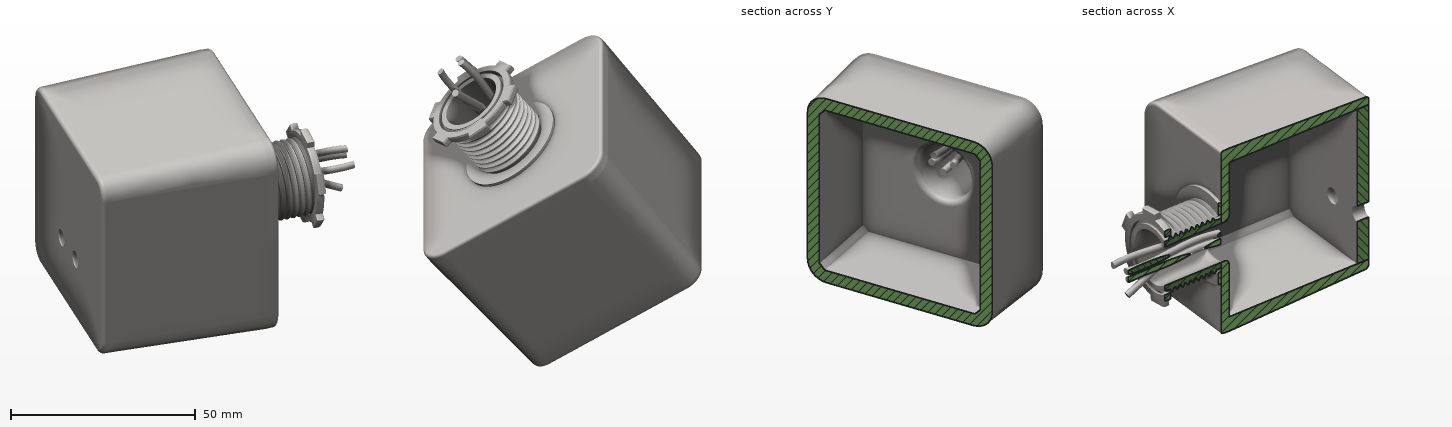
import cadquery as cq
import math


WIDEST_SIDE = 59.7
FRONT_SIDE = 56.1
CORNER_CENTER = 22.9
PARTING_Y = 47.15
REAR_Y = 50.1
FRONT_ROUND = 1.3
REAR_ROUND = 0.9

CAVITY_SIDE = 50.1
CAVITY_CORNER = 1.6
REAR_WALL = 2.9
PANEL_THICKNESS = 4.1
PANEL_HOLE_DIAMETER = 4.9
PANEL_HOLE_SPACING = 11.3
PANEL_HOLE_Z = -8.9

THREAD_RADIUS = 10.8
THREAD_ROOT_RADIUS = 9.8
THREAD_PITCH = 1.8
THREAD_ROOT_WIDTH = 1.7
THREAD_CREST_WIDTH = 0.25
THREAD_START_ANGLE = 240.0
THREAD_EMBED = 0.2
BORE_RADIUS = 8.2
INLET_ROUND = 1.6

GASKET_RADIUS = 14.35
GASKET_THICKNESS = 1.0
NUT_THICKNESS = 2.1
NUT_REAR_Y = 69.1
NUT_RING_RADIUS = 12.7
NUT_BEVEL_HEIGHT = 0.5
NUT_BEVEL_ANGLE = 20.0
LUG_COUNT = 6
LUG_REACH = 14.3
LUG_WIDTH = 5.9
FIRST_LUG_ANGLE = 22.0

WIRE_DIAMETER = 2.0
WIRE_TIP_Y = 81.5
WIRE_BOW = 0.5
BOWED_WIRES = [(-4.65, 2.85, -1), (-5.4, 0.6, -1), (1.5, 1.55, 1)]
BENT_WIRE_X = -1.7
BENT_WIRE_EXIT_Z = -2.45
BENT_WIRE_TIP_Y = 78.95
BENT_WIRE_ANGLE = 26.7

GASKET_REAR_Y = REAR_Y + GASKET_THICKNESS
NUT_FRONT_Y = NUT_REAR_Y - NUT_THICKNESS
FLOOR_Y = REAR_Y - REAR_WALL


def at_y(y):
    """Sketch plane facing +Y; its local axes are (-X, Z)."""
    return cq.Workplane(cq.Plane((0, y, 0), xDir=(-1, 0, 0), normal=(0, 1, 0)))


def rounded_square(side, radius):
    return cq.Sketch().rect(side, side).vertices().fillet(radius)


def cavity_outline():
    return cq.Sketch().rect(CAVITY_SIDE, CAVITY_SIDE).vertices().chamfer(CAVITY_CORNER)


def disc(radius, start_y, end_y):
    return at_y(start_y).circle(radius).extrude(end_y - start_y)


def tapered_box(start_y, start_side, end_y, end_side):
    """Square box from one side length to another; its corner radius grows with the side."""
    start = rounded_square(start_side, start_side / 2 - CORNER_CENTER)
    end = rounded_square(end_side, end_side / 2 - CORNER_CENTER)
    end_offset = cq.Location((0, 0, end_y - start_y))
    return at_y(start_y).placeSketch(start, end.moved(end_offset)).loft(ruled=True)


def make_housing():
    draft = (WIDEST_SIDE - FRONT_SIDE) / PARTING_Y
    rear_side = WIDEST_SIDE - draft * (REAR_Y - PARTING_Y)
    front_part = tapered_box(0, FRONT_SIDE, PARTING_Y, WIDEST_SIDE).faces("<Y").edges().fillet(FRONT_ROUND)
    rear_part = tapered_box(PARTING_Y, WIDEST_SIDE, REAR_Y, rear_side).faces(">Y").edges().fillet(REAR_ROUND)
    cavity = at_y(0).placeSketch(cavity_outline()).extrude(FLOOR_Y)
    passage = disc(BORE_RADIUS, FLOOR_Y, REAR_Y)
    inlet_center = (0, FLOOR_Y, 0)
    return (
        front_part.union(rear_part)
        .cut(cavity)
        .cut(passage)
        .edges(cq.selectors.NearestToPointSelector(inlet_center))
        .fillet(INLET_ROUND)
    )


def make_panel():
    return (
        at_y(0)
        .placeSketch(cavity_outline())
        .extrude(PANEL_THICKNESS)
        .cut(
            at_y(0)
            .pushPoints([(side * PANEL_HOLE_SPACING / 2, PANEL_HOLE_Z) for side in (-1, 1)])
            .circle(PANEL_HOLE_DIAMETER / 2)
            .extrude(PANEL_THICKNESS)
        )
    )


def make_thread():
    """Right-handed helical ridge along the whole nipple."""
    length = NUT_REAR_Y - REAR_Y - THREAD_ROOT_WIDTH
    start_radius = THREAD_ROOT_RADIUS - THREAD_EMBED
    helix = cq.Wire.makeHelix(THREAD_PITCH, length, start_radius)
    ridge = (
        cq.Workplane("XZ")
        .polyline([
            (start_radius, -THREAD_ROOT_WIDTH / 2),
            (THREAD_RADIUS, -THREAD_CREST_WIDTH / 2),
            (THREAD_RADIUS, THREAD_CREST_WIDTH / 2),
            (start_radius, THREAD_ROOT_WIDTH / 2),
        ])
        .close()
        .sweep(cq.Workplane(obj=helix), isFrenet=True)
    )
    return (
        ridge.rotate((0, 0, 0), (1, 0, 0), -90)
        .rotate((0, 0, 0), (0, 1, 0), THREAD_START_ANGLE)
        .translate((0, REAR_Y + THREAD_ROOT_WIDTH / 2, 0))
    )


def make_nipple():
    tube = disc(THREAD_ROOT_RADIUS, REAR_Y, NUT_REAR_Y).cut(disc(BORE_RADIUS, REAR_Y, NUT_REAR_Y))
    return tube.union(make_thread())


def make_gasket():
    return disc(GASKET_RADIUS, REAR_Y, GASKET_REAR_Y).cut(disc(THREAD_RADIUS, REAR_Y, GASKET_REAR_Y))


def make_locknut():
    """Lugged ring whose rim is bevelled on both faces."""
    outline = (
        cq.Sketch()
        .circle(NUT_RING_RADIUS)
        .parray(LUG_REACH / 2, 180 - FIRST_LUG_ANGLE, 360, LUG_COUNT)
        .rect(LUG_REACH, LUG_WIDTH)
        .reset()
        .clean()
    )
    middle_y = (NUT_FRONT_Y + NUT_REAR_Y) / 2
    straight_height = NUT_THICKNESS / 2 - NUT_BEVEL_HEIGHT
    rear_half = (
        at_y(middle_y)
        .placeSketch(outline)
        .extrude(straight_height)
        .union(
            at_y(middle_y + straight_height)
            .placeSketch(outline)
            .extrude(NUT_BEVEL_HEIGHT, taper=NUT_BEVEL_ANGLE)
        )
    )
    front_half = rear_half.mirror("XZ", (0, middle_y, 0))
    return rear_half.union(front_half).cut(disc(THREAD_RADIUS, NUT_FRONT_Y, NUT_REAR_Y))


def make_bowed_wire(x, z, bow_direction):
    """Wire that runs straight through the nipple and then bows sideways."""
    middle_y = (NUT_REAR_Y + WIRE_TIP_Y) / 2
    path = cq.Workplane("XY", origin=(x, 0, z)).spline(
        [(0, REAR_Y), (0, NUT_REAR_Y), (bow_direction * WIRE_BOW, middle_y), (0, WIRE_TIP_Y)]
    )
    return at_y(REAR_Y).center(-x, z).circle(WIRE_DIAMETER / 2).sweep(path)


def make_bent_wire():
    """Wire that bends down inside the mouth of the nipple."""
    slope = math.tan(math.radians(BENT_WIRE_ANGLE))
    straight_z = BENT_WIRE_EXIT_Z + slope * NUT_THICKNESS
    tip_z = BENT_WIRE_EXIT_Z - slope * (BENT_WIRE_TIP_Y - NUT_REAR_Y)
    path = (
        cq.Workplane("YZ", origin=(BENT_WIRE_X, 0, 0))
        .moveTo(REAR_Y, straight_z)
        .lineTo(NUT_FRONT_Y, straight_z)
        .lineTo(BENT_WIRE_TIP_Y, tip_z)
    )
    return at_y(REAR_Y).center(-BENT_WIRE_X, straight_z).circle(WIRE_DIAMETER / 2).sweep(path, transition="right")


housing = make_housing()
panel = make_panel()
nipple = make_nipple()
gasket = make_gasket()
locknut = make_locknut()
wires = [make_bowed_wire(*place) for place in BOWED_WIRES]
bent_wire = make_bent_wire()

result = cq.Compound.makeCompound([
    housing.val(),
    panel.val(),
    nipple.val(),
    gasket.val(),
    locknut.val(),
    *[wire.val() for wire in wires],
    bent_wire.val(),
])